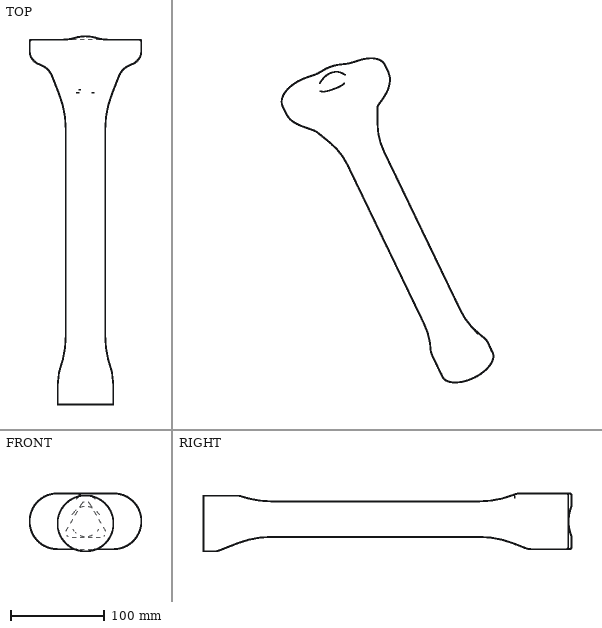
import cadquery as cq
import math

total_length = 395.0
butt_radius = 30.0

triangle_side = 32.5
corner_radius = 5.0
triangle_turns = (0, 120, 240)
side_tilt = 30
grip_start = 73.0
grip_end = 296.0

flare_radius = 100.0
flare_length = 36.5
butt_flare_size = 23.7
taper_length = 20.0
neck_radius = 20.0

head_width = 120.0
head_radius = 30.0
head_lift = 2.5
head_size_limit = 55.3

butt_fillet = 10.0
head_back_fillet = 14.5
head_front_fillet = 2.5

crest_height = 3.5
crest_half_width = 23.7
dish_depth = 3.0
dish_radius = 43.5

edge_margin = 0.5

vertex_distance = triangle_side / math.sqrt(3)
inradius = vertex_distance / 2
flare_angle = math.asin(flare_length / flare_radius)
flare_rise = flare_radius * (1 - math.cos(flare_angle))
flare_mid_y = flare_radius * math.sin(flare_angle / 2)
flare_mid_size = corner_radius + flare_radius * (1 - math.cos(flare_angle / 2))
flare_size = corner_radius + flare_rise

butt_taper_length = (butt_flare_size - flare_size) / math.tan(flare_angle)
neck_start = grip_end + flare_length + taper_length
neck_size = flare_size + taper_length * math.tan(flare_angle)
neck_mid_angle = (flare_angle + math.pi / 2) / 2
neck_end = neck_start + neck_radius * (1 - math.sin(flare_angle))
neck_end_size = neck_size + neck_radius * math.cos(flare_angle)
split = (grip_start + grip_end) / 2
head_front = total_length - crest_height


def half_profile():
    """Offset from the core triangle (local X) along the handle (local Y)."""
    neck_mid = (
        neck_size + neck_radius * (math.cos(flare_angle) - math.cos(neck_mid_angle)),
        neck_start + neck_radius * (math.sin(neck_mid_angle) - math.sin(flare_angle)),
    )
    return (
        cq.Workplane("XY")
        .lineTo(butt_flare_size, 0)
        .lineTo(butt_flare_size, grip_start - flare_length - butt_taper_length)
        .lineTo(flare_size, grip_start - flare_length)
        .threePointArc((flare_mid_size, grip_start - flare_mid_y), (corner_radius, grip_start))
        .lineTo(corner_radius, grip_end)
        .threePointArc((flare_mid_size, grip_end + flare_mid_y), (flare_size, grip_end + flare_length))
        .lineTo(neck_size, neck_start)
        .threePointArc(neck_mid, (neck_end_size, neck_end))
        .lineTo(head_size_limit, neck_end)
        .lineTo(head_size_limit, total_length)
        .lineTo(0, total_length)
        .close()
    )


def along_handle(sketch, start, end):
    """Extrude an XZ sketch between two places along the handle."""
    return sketch.extrude(start - end).translate((0, start, 0))


def flared_body():
    """Core triangle offset by the profile: rounded corners plus three flat sides."""
    triangle = (
        cq.Workplane("XZ")
        .polyline([
            (vertex_distance * math.sin(a), vertex_distance * math.cos(a))
            for a in map(math.radians, triangle_turns)
        ])
        .close()
    )
    corner = half_profile().revolve(360, (0, 0), (0, 1)).translate((0, 0, vertex_distance))
    side = (
        half_profile()
        .extrude(triangle_side)
        .translate((inradius, 0, -triangle_side / 2))
        .rotate((0, 0, 0), (0, 1, 0), -side_tilt)
    )
    body = along_handle(triangle, 0, total_length)
    for angle in triangle_turns:
        body = body.union(side.rotate((0, 0, 0), (0, 1, 0), angle))
        body = body.union(corner.rotate((0, 0, 0), (0, 1, 0), angle))
    return body


def wall_distance(point, straight_half_width, radius, lift):
    """Signed distance from a point to the wall of a slot running along the handle."""
    beyond_straight = max(abs(point.x) - straight_half_width, 0)
    return math.hypot(beyond_straight, point.z - lift) - radius


def wall_edges(solid, straight_half_width, radius, lift, low, high):
    """Edges of the solid that lie wholly on an end wall, between two places along the handle."""
    tolerance = 0.005
    sample_places = (0, 0.25, 0.5, 0.75, 1)
    found = []
    for edge in solid.edges().vals():
        points = edge.positions(sample_places)
        on_wall = all(abs(wall_distance(p, straight_half_width, radius, lift)) < tolerance for p in points)
        in_range = all(low < p.y < high for p in points)
        if on_wall and in_range:
            found.append(edge)
    return solid.newObject(found)


def butt_end(body):
    """Butt half of the handle, trimmed to the round butt."""
    cylinder = along_handle(cq.Workplane("XZ").circle(butt_radius), 0, split)
    end = body.intersect(cylinder)
    return wall_edges(end, 0, butt_radius, 0, edge_margin, grip_start).fillet(butt_fillet)


def head_end(body):
    """Head half of the handle, trimmed to the slot-shaped head."""
    slot = cq.Workplane("XZ", origin=(0, 0, head_lift)).slot2D(head_width, 2 * head_radius)
    end = body.intersect(along_handle(slot, split, total_length))
    straight_half_width = head_width / 2 - head_radius
    wall = (straight_half_width, head_radius, head_lift)
    end = wall_edges(end, *wall, grip_end, neck_end + edge_margin).fillet(head_back_fillet)
    end = end.cut(crest_cutter()).cut(dish_cutter())
    front_edges = wall_edges(end, *wall, head_front - edge_margin, total_length + edge_margin)
    return front_edges.fillet(head_front_fillet)


def crest_cutter():
    """Waste in front of the arms, leaving a smooth S-shaped crest in the middle."""
    crest_radius = (crest_half_width**2 + crest_height**2) / (4 * crest_height)
    quarter_angle = math.asin(crest_half_width / 2 / crest_radius) / 2
    dx = crest_radius * math.sin(quarter_angle)
    dy = crest_radius * (1 - math.cos(quarter_angle))
    middle = (crest_half_width / 2, total_length - crest_height / 2)
    right = (
        cq.Workplane("XY", origin=(0, 0, -head_width))
        .moveTo(0, total_length)
        .threePointArc((dx, total_length - dy), middle)
        .threePointArc((crest_half_width - dx, head_front + dy), (crest_half_width, head_front))
        .lineTo(head_width, head_front)
        .lineTo(head_width, total_length + edge_margin)
        .lineTo(0, total_length + edge_margin)
        .close()
        .extrude(2 * head_width)
    )
    return right.union(right.mirror("YZ"))


def dish_cutter():
    """Cylinder along X that hollows the middle of the crest."""
    dish_centre = total_length - dish_depth + dish_radius
    return (
        cq.Workplane("YZ", origin=(-head_width, 0, 0))
        .center(dish_centre, head_lift)
        .circle(dish_radius)
        .extrude(2 * head_width)
    )


body = flared_body()
result = butt_end(body).union(head_end(body))